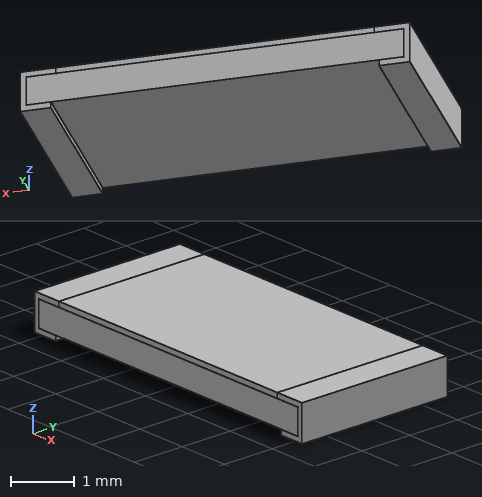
import cadquery as cq

LENGTH = 6.35
WIDTH = 3.05
HEIGHT = 0.7

PLATING = 0.1
TOP_LAP = 0.585
BOTTOM_LAP = 0.5

CORE_LENGTH = LENGTH - 2 * PLATING
CORE_HEIGHT = HEIGHT - 2 * PLATING
COATING_LENGTH = LENGTH - 2 * TOP_LAP


def make_substrate():
    """Ceramic core, raised off the base by the terminal thickness."""
    core = cq.Workplane("XY").box(CORE_LENGTH, WIDTH, CORE_HEIGHT, centered=(True, True, False))
    return core.translate((0, 0, PLATING))


def make_coating():
    """Protective layer on the core, between the two terminals."""
    layer = cq.Workplane("XY").box(COATING_LENGTH, WIDTH, PLATING, centered=(True, True, False))
    return layer.translate((0, 0, HEIGHT - PLATING))


def make_terminal(side):
    """C-shaped end terminal; side is -1 for the -X end and +1 for the +X end."""
    outer = side * LENGTH / 2
    inner = side * CORE_LENGTH / 2
    top_edge = side * (LENGTH / 2 - TOP_LAP)
    bottom_edge = side * (LENGTH / 2 - BOTTOM_LAP)
    outline = [
        (outer, 0),
        (outer, HEIGHT),
        (top_edge, HEIGHT),
        (top_edge, HEIGHT - PLATING),
        (inner, HEIGHT - PLATING),
        (inner, PLATING),
        (bottom_edge, PLATING),
        (bottom_edge, 0),
    ]
    return cq.Workplane("XZ").polyline(outline).close().extrude(WIDTH / 2, both=True)


substrate = make_substrate()
coating = make_coating()
terminals = [make_terminal(side) for side in (-1, 1)]

result = cq.Compound.makeCompound(
    [substrate.val(), coating.val(), *[terminal.val() for terminal in terminals]]
)